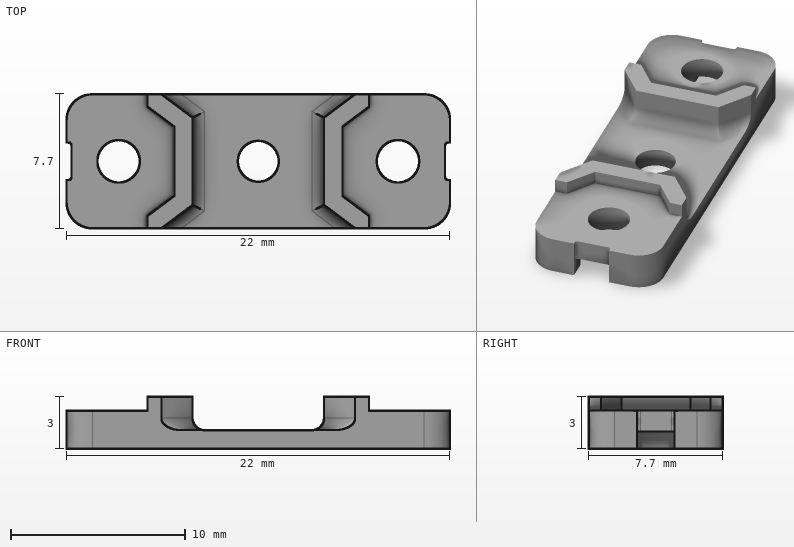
import cadquery as cq
import math

length = 22.0
width = 7.7
plate_height = 2.2
total_height = 3.0
corner_radius = 1.5

ridge_outer_edge_x = 6.35
ridge_outer_middle_x = 4.82
ridge_outer_middle_half_y = 1.98
ridge_inner_middle_x = 3.76
ridge_inner_middle_half_y = 2.5
ridge_angle = math.radians(36.8)

floor_height = 1.08
recess_fillet = 0.68
recess_overrun = 1.1

end_hole_x = 8.0
end_hole_diameter = 2.42
middle_hole_diameter = 2.33
counterbore_diameter = 4.35
counterbore_depth = 1.0

notch_depth = 0.29
notch_width = 2.13
notch_corner_radius = 0.18


def mirrored_outline(quarter_points):
    """Close an outline given in the +X +Y quarter, listed from the X axis outward."""
    right_side = [(x, -y) for x, y in reversed(quarter_points)] + quarter_points
    left_side = [(-x, -y) for x, y in right_side]
    return cq.Workplane("XY").polyline(right_side + left_side).close()


def make_plate():
    plate = cq.Workplane("XY").box(length, width, plate_height, centered=(True, True, False))
    return plate.edges("|Z").fillet(corner_radius)


def make_ridge_block():
    """Block whose end faces are the outer faces of the two ridges."""
    diagonal_rise = (ridge_outer_edge_x - ridge_outer_middle_x) * math.tan(ridge_angle)
    outline = mirrored_outline([
        (ridge_outer_middle_x, ridge_outer_middle_half_y),
        (ridge_outer_edge_x, ridge_outer_middle_half_y + diagonal_rise),
        (ridge_outer_edge_x, width / 2),
    ])
    return outline.extrude(total_height)


def make_recess():
    """Cutter for the space between the ridges, rounded where their walls meet the floor."""
    overrun_y = width / 2 + recess_overrun
    diagonal_run = (overrun_y - ridge_inner_middle_half_y) / math.tan(ridge_angle)
    outline = mirrored_outline([
        (ridge_inner_middle_x, ridge_inner_middle_half_y),
        (ridge_inner_middle_x + diagonal_run, overrun_y),
    ])
    recess = outline.extrude(total_height - floor_height)
    wall_foot_edges = recess.faces("<Z").edges("not(<Y or >Y)")
    return wall_foot_edges.fillet(recess_fillet).translate((0, 0, floor_height))


def make_end_cuts(side):
    """Bolt hole, counterbore from below and end notch; side is +1 or -1 along X."""
    hole_x = side * end_hole_x
    end_x = side * length / 2
    hole = cq.Workplane("XY").center(hole_x, 0).circle(end_hole_diameter / 2).extrude(total_height)
    counterbore = cq.Workplane("XY").center(hole_x, 0).circle(counterbore_diameter / 2)
    counterbore = counterbore.extrude(counterbore_depth)
    slot = cq.Workplane("XY").center((hole_x + end_x) / 2, 0)
    slot = slot.rect(length / 2 - end_hole_x, notch_width).extrude(counterbore_depth)
    notch = cq.Workplane("XY").center(end_x, 0).rect(2 * notch_depth, notch_width)
    notch = notch.extrude(total_height).edges("|Z").fillet(notch_corner_radius)
    return hole.union(counterbore).union(slot).union(notch)


middle_hole = cq.Workplane("XY").circle(middle_hole_diameter / 2).extrude(total_height)

result = make_plate().union(make_ridge_block()).cut(make_recess()).cut(middle_hole)
for side in (-1, 1):
    result = result.cut(make_end_cuts(side))